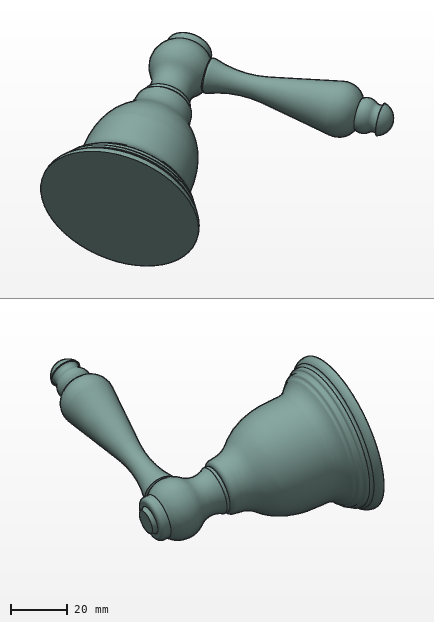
import cadquery as cq
import math


base_diameter = 59.4
base_radius = base_diameter / 2
base_rim_height = 0.4
foot_steps = [
    (28.1, 3.3, 0.42),
    (27.2, 4.5, -0.27),
    (26.6, 6.0, 0.38),
    (25.9, 7.0, -0.27),
    (25.3, 8.3, 0.27),
    (24.4, 9.3, -0.16),
]
foot_top_radius = 24.2
foot_top_height = 9.6
barrel_diameter = 41.7
barrel_radius = barrel_diameter / 2
barrel_bottom = 17.1
dome_bottom_radius = 20.1
dome_bottom = 27.4
dome_top_radius = 13.5
dome_top = 40.9
neck_top_radius = 11.0
neck_top = 45.8
collar_top_radius = 10.5
collar_top = 49.5
bell_top_radius = 9.0
bell_top = 51.3
cove_bulge = -1.1
barrel_bulge = 0.27
dome_bulge = 1.1
neck_bulge = -0.3
collar_round_bulge = 0.4

handle_gap = 0.4
post_bottom = bell_top + handle_gap
post_foot_radius = 9.0
post_foot_top = 53.1
waist_radius = 7.7
waist_height = 58.0
ball_bottom_radius = 9.6
ball_bottom = 63.3
ball_radius = 11.6
cap_radius = 8.4
cap_bottom = 76.1
cap_edge = 78.1
cap_rim_radius = 7.0
cap_top = 79.8
cap_round_bulge = 0.4
button_bottom_radius = 5.4
button_top_radius = 4.5
button_bulge = -0.1
overall_height = 81.5

lever_height = 69.1
overall_length = 109.4
lever_tip = overall_length - base_radius
stub_radius = 5.9
stub_end = 9.7
ring_radius = 6.5
ring_start = 10.3
ring_end = 11.3
grip_waist_radius = 4.2
grip_waist = 24.4
cone_start_radius = 4.8
cone_start = 31.7
cone_end_radius = 10.0
cone_end = 58.4
bulb_mid_radius = 8.9
bulb_mid = 64.3
bulb_end_radius = 5.8
bulb_end = 67.0
bead_radius = 6.6
bead_mid = 69.3
groove_edge_radius = 5.6
groove_start = 72.0
groove_radius = 5.0
knob_radius = 6.0
knob_start = 75.2


def bulged_arc(sketch, start, end, bulge):
    """Arc from start to end; on an upward profile a positive bulge swells away from the axis."""
    (r0, h0), (r1, h1) = start, end
    chord = math.hypot(r1 - r0, h1 - h0)
    mid_r = (r0 + r1) / 2 + bulge * (h1 - h0) / chord
    mid_h = (h0 + h1) / 2 - bulge * (r1 - r0) / chord
    return sketch.threePointArc((mid_r, mid_h), end)


def turn_about_y(profile):
    """Close a profile that ends on the Y axis and turn it a full circle."""
    return profile.close().revolve(360, (0, 0, 0), (0, 1, 0))


def make_bell():
    profile = cq.Workplane("XY").lineTo(base_radius, 0).lineTo(base_radius, base_rim_height)
    last = (base_radius, base_rim_height)
    for radius, height, bulge in foot_steps:
        profile = bulged_arc(profile, last, (radius, height), bulge)
        last = (radius, height)

    cove_start = (foot_top_radius, foot_top_height)
    barrel_start = (barrel_radius, barrel_bottom)
    dome_start = (dome_bottom_radius, dome_bottom)
    neck_start = (dome_top_radius, dome_top)
    collar_start = (neck_top_radius, neck_top)
    collar_end = (collar_top_radius, collar_top)
    profile = profile.lineTo(*cove_start)
    profile = bulged_arc(profile, cove_start, barrel_start, cove_bulge)
    profile = bulged_arc(profile, barrel_start, dome_start, barrel_bulge)
    profile = bulged_arc(profile, dome_start, neck_start, dome_bulge)
    profile = bulged_arc(profile, neck_start, collar_start, neck_bulge)
    profile = profile.lineTo(*collar_end)
    profile = bulged_arc(profile, collar_end, (bell_top_radius, bell_top), collar_round_bulge)
    return turn_about_y(profile.lineTo(0, bell_top))


def make_post():
    profile = (
        cq.Workplane("XY")
        .moveTo(0, post_bottom)
        .lineTo(post_foot_radius, post_bottom)
        .lineTo(post_foot_radius, post_foot_top)
        .threePointArc((waist_radius, waist_height), (ball_bottom_radius, ball_bottom))
        .threePointArc((ball_radius, lever_height), (cap_radius, cap_bottom))
        .lineTo(cap_radius, cap_edge)
    )
    profile = bulged_arc(profile, (cap_radius, cap_edge), (cap_rim_radius, cap_top), cap_round_bulge)
    button_start = (button_bottom_radius, cap_top)
    button_end = (button_top_radius, overall_height)
    profile = bulged_arc(profile.lineTo(*button_start), button_start, button_end, button_bulge)
    return turn_about_y(profile.lineTo(0, overall_height))


def make_lever():
    knob_length = lever_tip - knob_start
    knob_sphere_radius = (knob_radius**2 + knob_length**2) / (2 * knob_length)
    knob_centre = lever_tip - knob_sphere_radius
    half_angle = math.asin(knob_radius / knob_sphere_radius) / 2
    knob_mid = (
        knob_centre + knob_sphere_radius * math.cos(half_angle),
        knob_sphere_radius * math.sin(half_angle),
    )
    groove_mid = (groove_start + knob_start) / 2
    return (
        cq.Workplane("XY", origin=(0, lever_height, 0))
        .lineTo(0, stub_radius)
        .lineTo(stub_end, stub_radius)
        .lineTo(ring_start, ring_radius)
        .lineTo(ring_end, ring_radius)
        .threePointArc((grip_waist, grip_waist_radius), (cone_start, cone_start_radius))
        .lineTo(cone_end, cone_end_radius)
        .threePointArc((bulb_mid, bulb_mid_radius), (bulb_end, bulb_end_radius))
        .threePointArc((bead_mid, bead_radius), (groove_start, groove_edge_radius))
        .threePointArc((groove_mid, groove_radius), (knob_start, groove_edge_radius))
        .lineTo(knob_start, knob_radius)
        .threePointArc(knob_mid, (lever_tip, 0))
        .close()
        .revolve(360, (0, 0, 0), (1, 0, 0))
    )


def make_handle():
    return make_post().union(make_lever())


bell = make_bell()
handle = make_handle()
result = cq.Compound.makeCompound([bell.val(), *handle.solids().vals()])